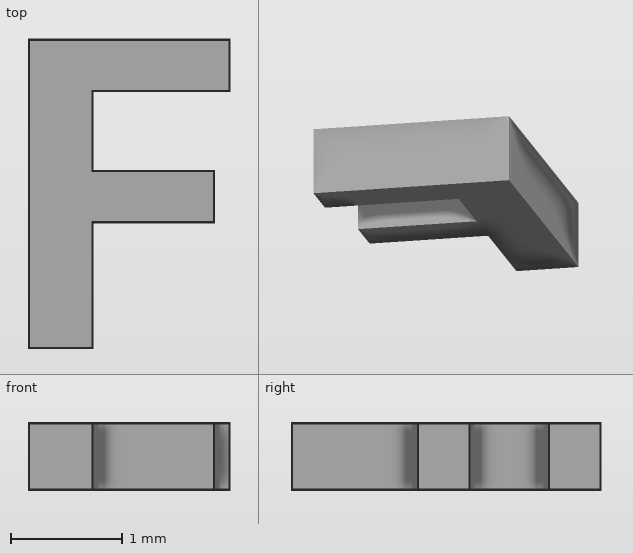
import cadquery as cq

width = 1.804
height = 2.77
thickness = 0.6

stem_width = 0.573
arm_height = 0.462
arm_gap = 0.716
middle_arm_reach = 1.665


def bar(length, bar_height, bottom):
    """Bar starting at the left side of the stem, with its lower edge at the given Y."""
    return cq.Workplane("XY").box(length, bar_height, thickness, centered=False).translate((0, bottom, 0))


top_arm_bottom = height - arm_height
middle_arm_bottom = top_arm_bottom - arm_gap - arm_height

stem = bar(stem_width, height, 0)
top_arm = bar(width, arm_height, top_arm_bottom)
middle_arm = bar(middle_arm_reach, arm_height, middle_arm_bottom)

result = stem.union(top_arm).union(middle_arm).clean()